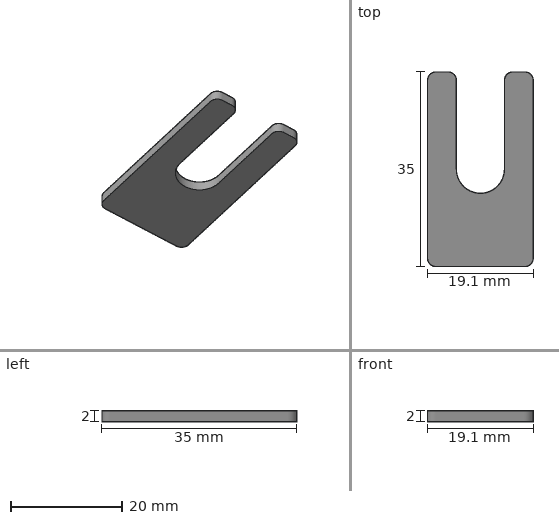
import cadquery as cq

width = 19.05
length = 35.05
thickness = 2.0
corner_radius = 1.525

slot_width = 8.6

half_width = width / 2
half_length = length / 2
slot_radius = slot_width / 2


def slotted_outline():
    """U-shaped outline of the plate, centred on the origin."""
    return (
        cq.Workplane("XY")
        .moveTo(-half_width, -half_length)
        .lineTo(half_width, -half_length)
        .lineTo(half_width, half_length)
        .lineTo(slot_radius, half_length)
        .lineTo(slot_radius, 0)
        .threePointArc((0, -slot_radius), (-slot_radius, 0))
        .lineTo(-slot_radius, half_length)
        .lineTo(-half_width, half_length)
        .close()
    )


def round_corners(plate):
    """Round the four outer corners and the two slot mouth corners."""
    base_corners = plate.faces("<Y").edges("|Z")
    prong_corners = plate.faces(">Y").edges("|Z")
    return base_corners.add(prong_corners).fillet(corner_radius)


result = round_corners(slotted_outline().extrude(thickness))